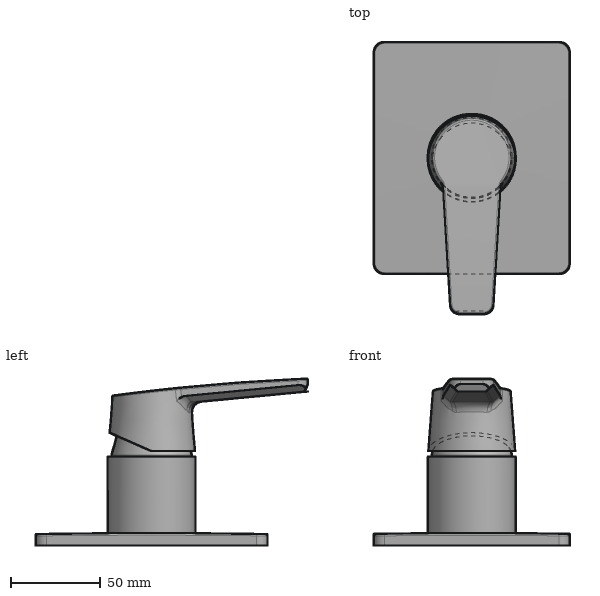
import cadquery as cq
import math

PLATE_X = 110
PLATE_Y = 130.1
PLATE_CROWN_Z = 7.2
PLATE_CORNER_R = 6.1
PLATE_EDGE_R = 0.8
DOME_R = 3817

BODY_R = 24.7
BODY_TOP_Z = 50.1
BODY_EDGE_R = 0.8
NECK_R = 22.6
NECK_TOP_R = 19.0
NECK_SHOULDER_Z = 50.8
NECK_TOP_Z = 64.1

CAP_BOTTOM_Z = 53.0
CAP_BOTTOM_R = 24.5
CAP_TOP_R = 21.0
BACK_CUT_Y = 23.7
BACK_CUT_Z = 63.4

CROWN_BACK = (22.1, 84.1)
CROWN_MIDDLE = (-19.7, 89.0)
TIP_Y = -87.6
TOP_Z = 93.7

LEVER_ROOT_HALF_WIDTH = 17.1
LEVER_TIP_HALF_WIDTH = 11.9
LEVER_ROOT_BOTTOM_Z = 78.0
LEVER_TIP_BOTTOM_Z = 86.4
LEVER_BEVEL = 4.1
UNDERSIDE_EDGE_R = 1.8
TIP_BEVEL_Y = 1.8
TIP_CORNER_R = 5.8
ROOT_BLEND_R = 5.3
TOP_EDGE_R = 1.0

OVERRUN = 3
BLANK_TOP_Z = TOP_Z + OVERRUN


def make_plate():
    plate = cq.Workplane("XY").rect(PLATE_X, PLATE_Y).extrude(2 * PLATE_CROWN_Z)
    plate = plate.edges("|Z").fillet(PLATE_CORNER_R)
    dome_angle = math.asin(PLATE_Y / DOME_R)
    dome = (
        cq.Workplane("XZ")
        .moveTo(0, PLATE_CROWN_Z)
        .threePointArc(dome_point(dome_angle / 2), dome_point(dome_angle))
        .lineTo(PLATE_Y, 0)
        .lineTo(0, 0)
        .close()
        .revolve(360, (0, 0), (0, 1))
    )
    return plate.intersect(dome).faces(">Z").edges().fillet(PLATE_EDGE_R)


def dome_point(angle):
    return DOME_R * math.sin(angle), PLATE_CROWN_Z - DOME_R * (1 - math.cos(angle))


def make_body():
    body = cq.Workplane("XY").circle(BODY_R).extrude(BODY_TOP_Z)
    return body.faces(">Z").edges().fillet(BODY_EDGE_R)


def make_neck():
    return (
        cq.Workplane("XZ")
        .polyline([
            (0, 0),
            (NECK_R, 0),
            (NECK_R, NECK_SHOULDER_Z),
            (NECK_TOP_R, NECK_TOP_Z),
            (0, NECK_TOP_Z),
        ])
        .close()
        .revolve(360, (0, 0), (0, 1))
    )


def make_cap():
    cap = (
        cq.Workplane("XZ")
        .polyline([
            (0, CAP_BOTTOM_Z),
            (CAP_BOTTOM_R, CAP_BOTTOM_Z),
            (CAP_TOP_R, BLANK_TOP_Z),
            (0, BLANK_TOP_Z),
        ])
        .close()
        .revolve(360, (0, 0), (0, 1))
    )
    slope = (BACK_CUT_Z - CAP_BOTTOM_Z) / BACK_CUT_Y
    cut_end_y = 2 * BACK_CUT_Y
    back_cut = (
        cq.Workplane("YZ")
        .moveTo(0, CAP_BOTTOM_Z)
        .lineTo(cut_end_y, CAP_BOTTOM_Z + slope * cut_end_y)
        .lineTo(cut_end_y, CAP_BOTTOM_Z)
        .close()
        .extrude(2 * CAP_BOTTOM_R, both=True)
    )
    return cap.cut(back_cut)


def lever_section(half_width, bottom_z):
    """Trapezoid open to 45 degrees, wider than the lever so that the outline trims it."""
    flat = half_width - LEVER_BEVEL
    spread = BLANK_TOP_Z - bottom_z
    return [
        (-flat, bottom_z),
        (flat, bottom_z),
        (flat + spread, BLANK_TOP_Z),
        (-flat - spread, BLANK_TOP_Z),
    ]


def make_lever():
    lower_edges = cq.selectors.BoxSelector(
        (-LEVER_ROOT_HALF_WIDTH, TIP_Y, LEVER_ROOT_BOTTOM_Z),
        (LEVER_ROOT_HALF_WIDTH, -OVERRUN, LEVER_TIP_BOTTOM_Z),
    )
    length_ratio = 1 + OVERRUN / -TIP_Y
    narrowing = LEVER_ROOT_HALF_WIDTH - LEVER_TIP_HALF_WIDTH
    end_half_width = LEVER_ROOT_HALF_WIDTH - length_ratio * narrowing
    rise = LEVER_TIP_BOTTOM_Z - LEVER_ROOT_BOTTOM_Z
    end_bottom_z = LEVER_ROOT_BOTTOM_Z + length_ratio * rise
    beveled_bar = (
        cq.Workplane("XZ")
        .polyline(lever_section(LEVER_ROOT_HALF_WIDTH, LEVER_ROOT_BOTTOM_Z))
        .close()
        .workplane(offset=OVERRUN - TIP_Y)
        .polyline(lever_section(end_half_width, end_bottom_z))
        .close()
        .loft(ruled=True)
        .edges(lower_edges)
        .fillet(UNDERSIDE_EDGE_R)
    )
    outline = (
        cq.Workplane("XY", origin=(0, 0, CAP_BOTTOM_Z))
        .polyline([
            (-LEVER_ROOT_HALF_WIDTH, 0),
            (LEVER_ROOT_HALF_WIDTH, 0),
            (LEVER_TIP_HALF_WIDTH, TIP_Y),
            (-LEVER_TIP_HALF_WIDTH, TIP_Y),
        ])
        .close()
        .extrude(BLANK_TOP_Z - CAP_BOTTOM_Z)
        .edges("|Z and <Y")
        .fillet(TIP_CORNER_R)
    )
    tip_bevel = (
        cq.Workplane("YZ")
        .moveTo(TIP_Y, LEVER_TIP_BOTTOM_Z + LEVER_BEVEL)
        .lineTo(TIP_Y + TIP_BEVEL_Y, LEVER_TIP_BOTTOM_Z)
        .lineTo(TIP_Y, LEVER_TIP_BOTTOM_Z)
        .close()
        .extrude(LEVER_ROOT_HALF_WIDTH, both=True)
    )
    return beveled_bar.intersect(outline).cut(tip_bevel)


def make_crown_blank():
    return (
        cq.Workplane("YZ")
        .moveTo(TIP_Y - OVERRUN, 0)
        .lineTo(TIP_Y - OVERRUN, TOP_Z)
        .lineTo(TIP_Y, TOP_Z)
        .threePointArc(CROWN_MIDDLE, CROWN_BACK)
        .lineTo(2 * BODY_R, CROWN_BACK[1])
        .lineTo(2 * BODY_R, 0)
        .close()
        .extrude(2 * BODY_R, both=True)
    )


def make_handle():
    blank = make_cap().union(make_lever())
    root_zone = cq.selectors.BoxSelector(
        (-CAP_BOTTOM_R, -CAP_BOTTOM_R, CAP_BOTTOM_Z + OVERRUN),
        (CAP_BOTTOM_R, -OVERRUN, BLANK_TOP_Z + OVERRUN),
        boundingbox=True,
    )
    handle = blank.edges(root_zone).fillet(ROOT_BLEND_R).intersect(make_crown_blank())
    back_of_top = cq.selectors.NearestToPointSelector((0, *CROWN_BACK))
    return handle.edges(back_of_top).fillet(TOP_EDGE_R)


result = make_plate().union(make_body()).union(make_neck()).union(make_handle())